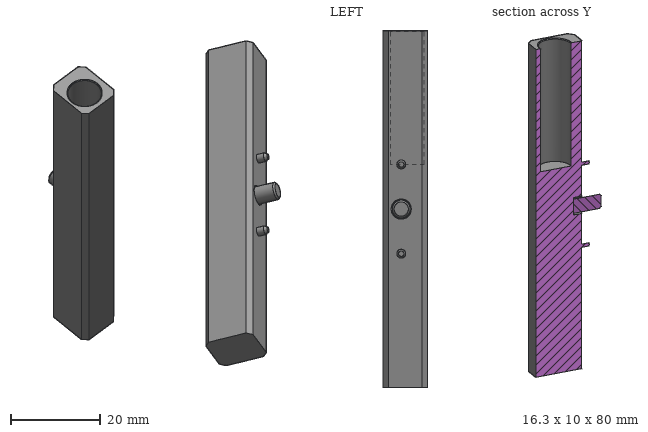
import cadquery as cq

bar_width = 11.5
bar_depth = 10.0
bar_height = 80.0
corner_chamfer = 1.2
bar_right = 5.0
bar_left = bar_right - bar_width
mid_height = bar_height / 2

bore_diameter = 7.5
bore_rim_chamfer = 0.2
bore_depth = 30.0
bore_offset = 0.4
bar_center_y = bore_offset

pin_line_offset = 0.9
pin_line_y = bar_center_y + pin_line_offset

peg_diameter = 2.0
peg_reach = 2.4
peg_chamfer_length = 0.7
peg_chamfer_depth = 0.4
peg_spacing = 20.0

pin_diameter = 4.0
pin_reach = 4.8
pin_tip_chamfer = 0.4
pin_hole_diameter = 4.5
pin_hole_depth = 2.0


def left_face_cylinder(diameter, x_start, x_end, height):
    """Cylinder along X on the pin line, from x_start to x_end."""
    return (
        cq.Workplane("YZ", origin=(x_start, pin_line_y, height))
        .circle(diameter / 2)
        .extrude(x_end - x_start)
    )


def make_peg(height):
    """Locating peg with a steep chamfer at its tip."""
    peg = left_face_cylinder(peg_diameter, bar_left - peg_reach, bar_left, height)
    return peg.faces("<X").chamfer(peg_chamfer_length, peg_chamfer_depth)


def make_bar():
    bar = (
        cq.Workplane("XY", origin=(bar_left + bar_width / 2, bar_center_y, 0))
        .rect(bar_width, bar_depth)
        .extrude(bar_height)
        .edges("|Z")
        .chamfer(corner_chamfer)
    )
    bore = (
        cq.Workplane("XY", origin=(0, 0, bar_height - bore_depth))
        .circle(bore_diameter / 2)
        .extrude(bore_depth)
    )
    bar = bar.cut(bore)
    bar = bar.faces(">Z").edges("%CIRCLE").chamfer(bore_rim_chamfer)
    pin_hole = left_face_cylinder(pin_hole_diameter, bar_left, bar_left + pin_hole_depth, mid_height)
    bar = bar.cut(pin_hole)
    for side in (-1, 1):
        bar = bar.union(make_peg(mid_height + side * peg_spacing / 2))
    return bar


def make_center_pin():
    pin = left_face_cylinder(pin_diameter, bar_left - pin_reach, bar_left + pin_hole_depth, mid_height)
    return pin.faces("<X").chamfer(pin_tip_chamfer)


bar = make_bar()
center_pin = make_center_pin()

result = cq.Compound.makeCompound([bar.val(), center_pin.val()])